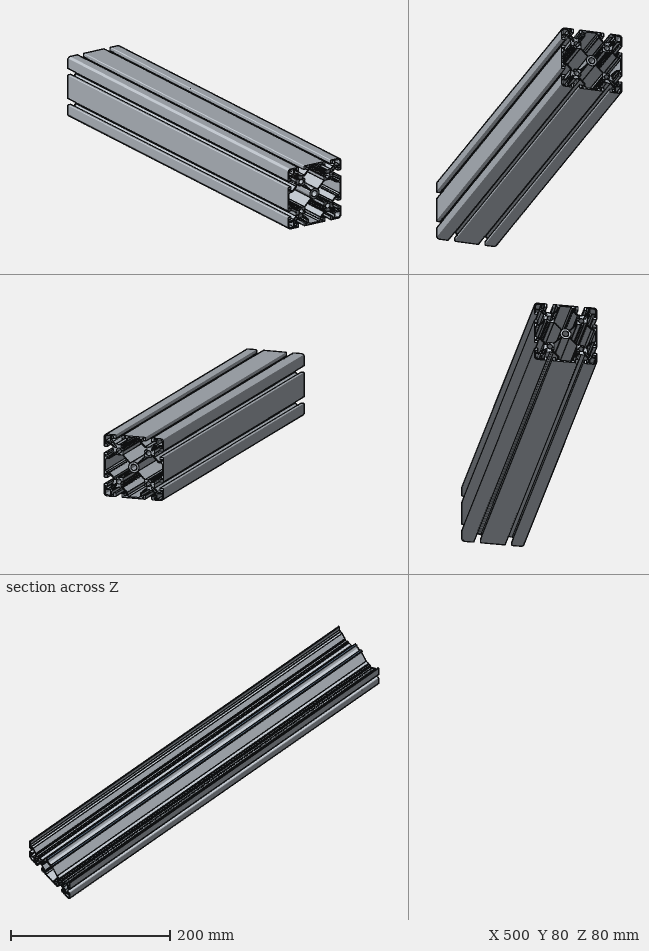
import cadquery as cq
import math

length = 500.0
side = 80.0
half_side = side / 2
corner_radius = 4.5
wall = 1.75
web = 1.3

slot_centre = 20.0
mouth_half = 4.0
lip_depth = 4.75
lip_width = 3.0
lip_round = 1.5
slot_half = 10.0
slot_straight_depth = 6.5
slot_depth = 12.0
floor_half = slot_half - (slot_depth - slot_straight_depth)
groove_half = 2.0
groove_depth = 0.6
root_chamfer = 1.75

post_cavity_radius = 2.5
post_inner_wall = 0.8

core_bore_diameter = 6.5
core_half = 5.5
core_shoulder_half = 3.5
core_neck_half = 2.5
core_corner_cut = 1.0
core_groove_size = 0.75

tube_outer_diameter = 14.0
tube_bore_diameter = 8.0
thin_web = 0.7

web_slant = web * math.sqrt(2)
thin_web_rise = thin_web / math.sqrt(2)


def prism(points):
    """Full-length bar with the given closed outline of (y, z) points."""
    return cq.Workplane("YZ").polyline(points).close().extrude(length / 2, both=True)


def round_bar(diameter, y=0.0, z=0.0):
    return cq.Workplane("YZ").center(y, z).circle(diameter / 2).extrude(length / 2, both=True)


def cut_all_sides(body, cutter):
    """Cut the same shape from all four faces."""
    for quarter in range(4):
        body = body.cut(cutter.rotate((0, 0, 0), (1, 0, 0), 90 * quarter))
    return body


def slot_cutter():
    """T-slot in the top face at +Y; across is positive towards the corner."""
    lip_inner = mouth_half + lip_width
    across_and_depth = [
        (-mouth_half, lip_round),
        (-mouth_half, lip_depth),
        (-lip_inner, lip_depth),
        (-lip_inner, wall),
        (-slot_half + root_chamfer, wall),
        (-slot_half, wall + root_chamfer),
        (-slot_half, slot_straight_depth),
        (-floor_half, slot_depth),
        (-groove_half, slot_depth),
        (0, slot_depth + groove_depth),
        (groove_half, slot_depth),
        (floor_half, slot_depth),
        (slot_half, slot_straight_depth),
        (slot_half, wall),
        (lip_inner, wall),
        (lip_inner, lip_depth),
        (mouth_half, lip_depth),
        (mouth_half, lip_round),
    ]
    outline = [(slot_centre + across, half_side - depth) for across, depth in across_and_depth]
    bend = lip_round * (1 - math.sqrt(0.5))
    edge_plus = slot_centre + mouth_half
    edge_minus = slot_centre - mouth_half
    return (
        cq.Workplane("YZ")
        .polyline(outline)
        .threePointArc((edge_plus + bend, half_side - bend), (edge_plus + lip_round, half_side))
        .lineTo(edge_minus - lip_round, half_side)
        .threePointArc((edge_minus - bend, half_side - bend), outline[0])
        .close()
        .extrude(length / 2, both=True)
    )


def chamber_cutter():
    """Large chamber behind the middle plate of the top face."""
    web_y = slot_centre - slot_half - web
    web_bend_depth = slot_straight_depth + web_slant - web
    floor_back_depth = slot_depth + web
    floor_back_half = slot_half + web - (floor_back_depth - web_bend_depth)
    core_side = slot_centre - core_half
    core_top = slot_centre + core_shoulder_half
    right_half = [
        (web_y - root_chamfer, half_side - wall),
        (web_y, half_side - wall - root_chamfer),
        (web_y, half_side - web_bend_depth),
        (slot_centre - floor_back_half, half_side - floor_back_depth),
        (slot_centre - core_neck_half, half_side - floor_back_depth),
        (slot_centre - core_neck_half, core_top),
        (core_side + core_corner_cut, core_top),
        (core_side, core_top - core_corner_cut),
        (core_side, slot_centre + core_groove_size),
        (core_side + core_groove_size, slot_centre),
        (core_side, slot_centre - core_groove_size),
        (core_side, core_side + thin_web_rise),
    ]
    left_half = [(-y, z) for y, z in reversed(right_half)]
    return prism(right_half + [(0, thin_web_rise)] + left_half)


def post_cutter():
    """Square hollow inside the corner post at +Y +Z, rounded at the outer corner."""
    outer = half_side - wall
    inner = slot_centre + slot_half + web
    size = outer - inner
    middle = (outer + inner) / 2
    return (
        cq.Workplane("YZ")
        .center(middle, middle)
        .rect(size, size)
        .extrude(length / 2, both=True)
        .edges("|X and >(0,1,1)")
        .fillet(post_cavity_radius)
    )


def web_gap_cutter():
    """Hollow between the two diagonal webs that join a corner post to its core."""
    outer = slot_centre + slot_half + web - post_inner_wall
    inner = slot_centre + core_shoulder_half
    spread = half_side - slot_centre - slot_half - slot_straight_depth - web_slant
    return prism([
        (outer, outer),
        (outer - spread, outer),
        (inner, inner + spread),
        (inner, inner),
        (inner + spread, inner),
        (outer, outer - spread),
    ])


body = cq.Workplane("YZ").rect(side, side).extrude(length / 2, both=True).edges("|X").fillet(corner_radius)

slot = slot_cutter()
cutters = [
    slot,
    slot.mirror("XZ"),
    chamber_cutter(),
    post_cutter(),
    web_gap_cutter(),
    round_bar(core_bore_diameter, slot_centre, slot_centre),
]
for cutter in cutters:
    body = cut_all_sides(body, cutter)

result = body.union(round_bar(tube_outer_diameter)).cut(round_bar(tube_bore_diameter))